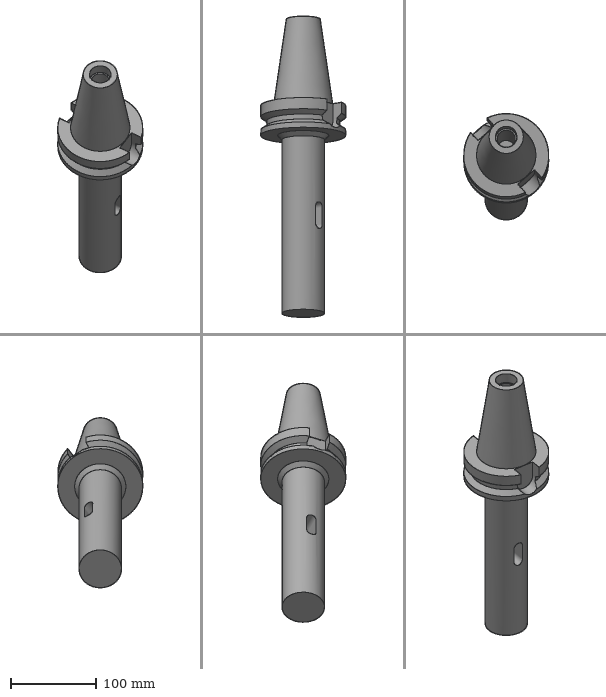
import cadquery as cq

total_height = 351.8
taper_base_z = 249.5
flange_top_z = 248.5
flange_bottom_z = 213.0
shank_top_z = 207.5

flange_diameter = 100.0
shank_diameter = 50.0
collar_diameter = 60.0
taper_base_diameter = 69.5
taper_tip_diameter = 40.0

groove_diameter = 86.0
groove_upper_edge_z = 235.0
groove_floor_top_z = 230.0
groove_floor_bottom_z = 224.0
groove_lower_edge_z = 219.0

bore_diameter = 25.0
bore_depth = 12.5
inner_bore_diameter = 21.0
inner_bore_depth = 70.5

keyway_width = 26.0
keyway_bottom_z = 216.0
keyway_floor_distance = 35.2

slot_width = 12.0
slot_length = 31.5
slot_center_z = 114.5


def turned_body():
    """Shank, grooved flange and taper as one revolved profile."""
    profile = [
        (0, 0),
        (shank_diameter / 2, 0),
        (shank_diameter / 2, shank_top_z),
        (collar_diameter / 2, flange_bottom_z),
        (flange_diameter / 2, flange_bottom_z),
        (flange_diameter / 2, groove_lower_edge_z),
        (groove_diameter / 2, groove_floor_bottom_z),
        (groove_diameter / 2, groove_floor_top_z),
        (flange_diameter / 2, groove_upper_edge_z),
        (flange_diameter / 2, flange_top_z),
        (taper_base_diameter / 2, flange_top_z),
        (taper_base_diameter / 2, taper_base_z),
        (taper_tip_diameter / 2, total_height),
        (0, total_height),
    ]
    return cq.Workplane("XZ").polyline(profile).close().revolve(360, (0, 0), (0, 1))


def bore_cutter(diameter, depth):
    """Cylinder reaching down from the tip of the taper."""
    return cq.Workplane("XY").workplane(offset=total_height - depth).circle(diameter / 2).extrude(depth)


def keyway_cutter(side):
    """Round-bottomed keyway, open outward and upward; side is +1 or -1 along X."""
    radius = keyway_width / 2
    arc_center_z = keyway_bottom_z + radius
    cut_depth = flange_diameter / 2 - keyway_floor_distance
    return (
        cq.Workplane("YZ")
        .workplane(offset=side * keyway_floor_distance)
        .moveTo(-radius, flange_top_z)
        .lineTo(-radius, arc_center_z)
        .threePointArc((0, keyway_bottom_z), (radius, arc_center_z))
        .lineTo(radius, flange_top_z)
        .close()
        .extrude(side * cut_depth)
    )


def cross_slot_cutter():
    """Vertical slot with rounded ends passing through the shank along X."""
    return (
        cq.Workplane("YZ")
        .center(0, slot_center_z)
        .slot2D(slot_length, slot_width, 90)
        .extrude(shank_diameter, both=True)
    )


result = turned_body()
result = result.cut(bore_cutter(bore_diameter, bore_depth))
result = result.cut(bore_cutter(inner_bore_diameter, inner_bore_depth))
for side in (-1, 1):
    result = result.cut(keyway_cutter(side))
result = result.cut(cross_slot_cutter())